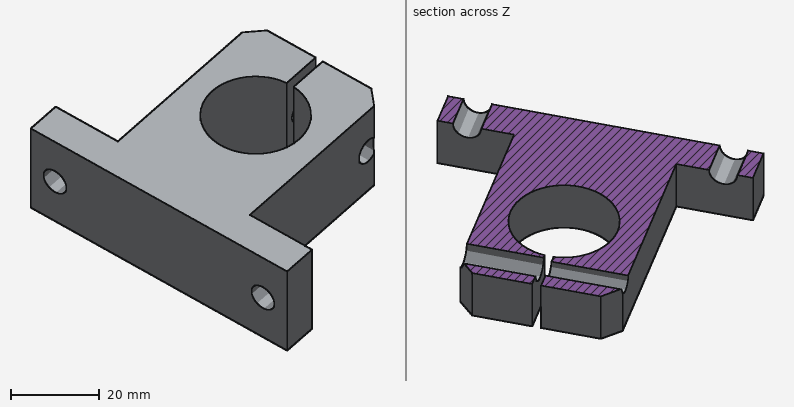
import cadquery as cq

base_width = 74.0
total_height = 58.0
depth = 25.0

flange_thickness = 9.0
mount_hole_diameter = 6.6
mount_hole_spacing = 60.0

block_width = 38.1
corner_chamfer = 4.0
bore_diameter = 25.0
bore_height = 35.0
slit_width = 2.0
narrow_jaw_hole_diameter = 4.9
wide_jaw_hole_diameter = 6.6
clamp_hole_from_end = 6.2

mid_depth = depth / 2


def make_body():
    """T-shaped body: flange along X with the chamfered clamp block on it."""
    flange = cq.Workplane("XY").box(
        base_width, flange_thickness, depth, centered=(True, False, False)
    )
    block = (
        cq.Workplane("XY")
        .box(block_width, total_height, depth, centered=(True, False, False))
        .edges("|Z and >Y")
        .chamfer(corner_chamfer)
    )
    return flange.union(block)


def make_bore_and_slit():
    """Shaft bore along Z and the slit that opens it towards +Y."""
    bore = cq.Workplane("XY").center(0, bore_height).circle(bore_diameter / 2).extrude(depth)
    slit = (
        cq.Workplane("XY")
        .center(0, bore_height)
        .box(slit_width, total_height - bore_height, depth, centered=(True, False, False))
    )
    return bore.union(slit)


def make_mount_holes():
    """Pair of holes along Y through the flange."""
    half_spacing = mount_hole_spacing / 2
    return (
        cq.Workplane("XZ")
        .pushPoints([(-half_spacing, mid_depth), (half_spacing, mid_depth)])
        .circle(mount_hole_diameter / 2)
        .extrude(-flange_thickness)
    )


def make_jaw_hole(diameter, direction):
    """Screw hole along X through one jaw; direction is +1 or -1."""
    return (
        cq.Workplane("YZ")
        .center(total_height - clamp_hole_from_end, mid_depth)
        .circle(diameter / 2)
        .extrude(direction * block_width / 2)
    )


result = (
    make_body()
    .cut(make_bore_and_slit())
    .cut(make_mount_holes())
    .cut(make_jaw_hole(narrow_jaw_hole_diameter, -1))
    .cut(make_jaw_hole(wide_jaw_hole_diameter, 1))
)